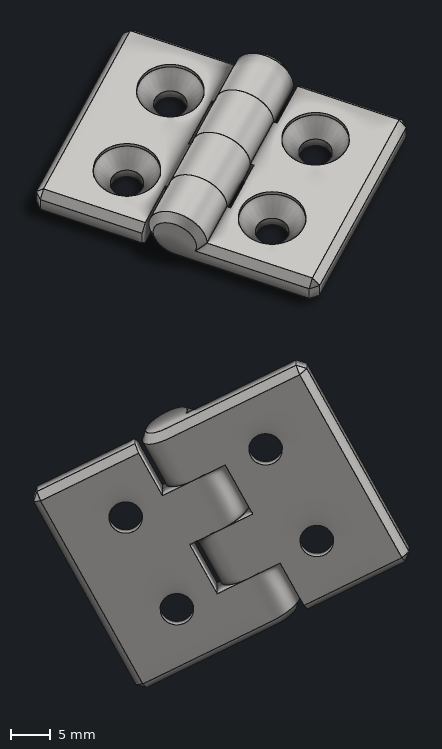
import cadquery as cq

HINGE_WIDTH = 39.0
HINGE_LENGTH = 30.0
HINGE_HEIGHT = 8.0

KNUCKLE_COUNT = 4
KNUCKLE_RADIUS = HINGE_HEIGHT / 2
KNUCKLE_LENGTH = HINGE_LENGTH / KNUCKLE_COUNT
SLOT_DEPTH = 4.5

LEAF_WIDTH = HINGE_WIDTH / 2
LEAF_THICKNESS = KNUCKLE_RADIUS
CHAMFER = 1.0

HOLE_DIAMETER = 4.2
SINK_DIAMETER = 8.55
SINK_LIP = 0.5
SINK_DEPTH = SINK_LIP + (SINK_DIAMETER - HOLE_DIAMETER) / 2
HOLE_AXIS_DISTANCE = 10.0
HOLE_SPACING = 14.0


def make_plate():
    """Flat plate from the hinge axis outward, chamfered on all but its axis edges."""
    return (
        cq.Workplane("XY")
        .box(LEAF_WIDTH, HINGE_LENGTH, LEAF_THICKNESS, centered=(False, True, False))
        .edges("not(<X)")
        .chamfer(CHAMFER)
    )


def make_slot(start_y):
    """Clearance in the plate for one knuckle of the other leaf."""
    return (
        cq.Workplane("XY")
        .box(SLOT_DEPTH, KNUCKLE_LENGTH, LEAF_THICKNESS, centered=False)
        .translate((0, start_y, 0))
    )


def make_knuckle(start_y, is_end):
    """One barrel section running toward +Y; an end section is chamfered at its -Y face."""
    knuckle = cq.Workplane("XZ", origin=(0, start_y, KNUCKLE_RADIUS)).circle(KNUCKLE_RADIUS)
    knuckle = knuckle.extrude(-KNUCKLE_LENGTH)
    if is_end:
        knuckle = knuckle.faces("<Y").chamfer(CHAMFER)
    return knuckle


def make_screw_hole(y):
    """Cutter for a through hole with a conical sink and a short straight lip."""
    hole_radius = HOLE_DIAMETER / 2
    sink_radius = SINK_DIAMETER / 2
    return (
        cq.Workplane("XZ")
        .moveTo(0, 0)
        .lineTo(hole_radius, 0)
        .lineTo(hole_radius, LEAF_THICKNESS - SINK_DEPTH)
        .lineTo(sink_radius, LEAF_THICKNESS - SINK_LIP)
        .lineTo(sink_radius, LEAF_THICKNESS)
        .lineTo(0, LEAF_THICKNESS)
        .close()
        .revolve(360, (0, 0), (0, 1))
        .translate((HOLE_AXIS_DISTANCE, y, 0))
    )


def make_leaf():
    """Leaf on the +X side: its own knuckles alternate with slots, starting at -Y."""
    leaf = make_plate()
    for index in range(KNUCKLE_COUNT):
        start_y = -HINGE_LENGTH / 2 + index * KNUCKLE_LENGTH
        if index % 2 == 0:
            leaf = leaf.union(make_knuckle(start_y, is_end=index == 0))
        else:
            leaf = leaf.cut(make_slot(start_y))
    for side in (-1, 1):
        leaf = leaf.cut(make_screw_hole(side * HOLE_SPACING / 2))
    return leaf


leaves = []
for turn in (0, 180):
    leaf = make_leaf().rotate((0, 0, 0), (0, 0, 1), turn)
    leaves.append(leaf.val())

result = cq.Compound.makeCompound(leaves)